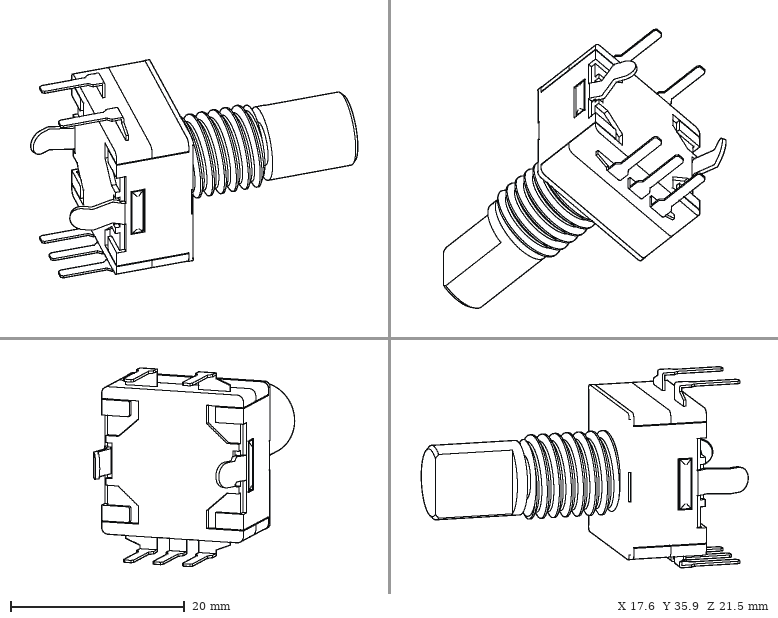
import cadquery as cq
import math


body_size = 17.3
half_body = body_size / 2
body_corner_radius = 0.8
seam_y = 4.27
case_top_y = 8.7
clearance = 0.07
channel_clearance = 0.1

plate_top_y = 9.25
plate_corner_radius = 0.7
plate_edge_radius = 0.15
edge_notch_half_width = 1.72
edge_notch_depth = 0.2
sheet = 0.45
wall_half_width = 7.1
wall_inner_x = half_body - sheet
wall_opening_half_width = 5.28
wall_opening_top_y = 1.1
lug_bend_y = 1.0
tab_end_x = 5.25
tab_corner_radius = 0.2

lug_half_width = 1.47
lug_bend_radius = 0.43
lug_waist = (7.9, -0.25)
lug_knee = (8.62, -2.87)
lug_tip_x = 7.5
tip_y = -5.3

window_half_length = 3.0
window_bottom_y = 1.72
window_top_y = 3.4
catch_half_length = 2.9
catch_bottom_y = 1.85
catch_top_y = 3.15
catch_height = 0.15
ridge_half_length = 2.35
ridge_width = 0.25

recess_depth = 0.57
side_floor_x = wall_inner_x - clearance
channel_half_width = wall_half_width + channel_clearance
recess_end_x = 4.15
recess_bevel_z = 5.1
recess_bevel_x = 6.65
recess_inner_z = 2.9
lug_recess_half_width = 2.1
lug_recess_end_x = 7.4

terminal_pitch = 3.6
terminal_sheet = 0.3
terminal_outer_z = 10.75
foot_top_y = 2.12
foot_half_width = 1.05
flare_reach = 2.75
flare_near_z = 9.38
flare_far_z = 10.05
blade_half_width = 0.6
shoulder_top_y = 0.7
shoulder_bottom_y = 0.2
blade_tip_inset = 0.2
blade_tip_length = 0.3

bushing_length = 10.05
thread_pitch = 1.45
thread_root_radius = 4.1
thread_crest_radius = 4.85
thread_crest_width = 0.2
thread_root_width = 0.32
thread_embed = 0.1

neck_radius = 2.55
collar_bottom_y = 20.2
flat_bottom_y = 21.4
shaft_end_y = 30.6
shaft_radius = 4.3
flat_x = 2.12
shaft_end_chamfer = 0.4


def block(x_range, y_range, z_range):
    """Box between the given limits along each axis."""
    (x0, x1), (y0, y1), (z0, z1) = x_range, y_range, z_range
    corner = cq.Vector(x0, y0, z0)
    return cq.Workplane(cq.Solid.makeBox(x1 - x0, y1 - y0, z1 - z0, corner))


def cylinder(radius, y0, y1):
    """Cylinder on the shaft axis between two heights."""
    return cq.Workplane(cq.Solid.makeCylinder(radius, y1 - y0, cq.Vector(0, y0, 0), cq.Vector(0, 1, 0)))


def both_sides(shape):
    """The shape together with its mirror image across X = 0."""
    return shape.union(shape.mirror("YZ"))



def body_section(y0, y1):
    """Square block with round corners and a shallow channel for the bracket on each X side."""
    section = block((-half_body, half_body), (y0, y1), (-half_body, half_body))
    section = section.edges("|Y").fillet(body_corner_radius)
    channel = block((-half_body, -side_floor_x), (y0, y1), (-channel_half_width, channel_half_width))
    return section.cut(both_sides(channel))


def make_case():
    return body_section(seam_y, case_top_y)



def snap_catch():
    """Hip-roofed catch that stands through the bracket window on the -X side."""
    root = block(
        (-half_body, -side_floor_x),
        (catch_bottom_y, catch_top_y),
        (-catch_half_length, catch_half_length),
    )
    catch_width = catch_top_y - catch_bottom_y
    middle_y = (catch_top_y + catch_bottom_y) / 2
    roof = (
        cq.Workplane("YZ", origin=(-half_body, middle_y, 0))
        .rect(catch_width, 2 * catch_half_length)
        .workplane(offset=-catch_height)
        .rect(ridge_width, 2 * ridge_half_length)
        .loft(ruled=True)
    )
    return root.union(roof)


def corner_recess():
    """Bevelled recess that takes the folded bracket tab at the -X, +Z corner."""
    outline = [
        (-half_body, channel_half_width),
        (-recess_end_x, channel_half_width),
        (-recess_end_x, recess_bevel_z),
        (-recess_bevel_x, recess_inner_z),
        (-half_body, recess_inner_z),
    ]
    return cq.Workplane("XZ").polyline(outline).close().extrude(-recess_depth)


def lug_recess():
    """Recess around the root of the lug, deeper right behind the lug itself."""
    x_range = (-half_body, -lug_recess_end_x)
    shallow = block(x_range, (0, recess_depth), (-lug_recess_half_width, lug_recess_half_width))
    deep = block(x_range, (0, wall_opening_top_y), (-lug_half_width, lug_half_width))
    return shallow.union(deep)


def terminal(x, flare):
    """Bent terminal on the +Z side; flare is the X direction of its wide root, or 0 for none."""
    foot_bottom_y = foot_top_y - terminal_sheet
    root_z = half_body - terminal_sheet
    foot = block(
        (x - foot_half_width, x + foot_half_width),
        (foot_bottom_y, foot_top_y),
        (root_z, terminal_outer_z),
    )
    half_blade = [
        (foot_half_width, foot_top_y),
        (foot_half_width, shoulder_top_y),
        (blade_half_width, shoulder_bottom_y),
        (blade_half_width, tip_y + blade_tip_length),
        (blade_half_width - blade_tip_inset, tip_y),
    ]
    right_side = [(x + dx, y) for dx, y in half_blade]
    left_side = [(x - dx, y) for dx, y in reversed(half_blade)]
    blade = (
        cq.Workplane("XY", origin=(0, 0, terminal_outer_z - terminal_sheet))
        .polyline(right_side + left_side)
        .close()
        .extrude(terminal_sheet)
    )
    bent = foot.union(blade).edges(">Y and >Z").fillet(terminal_sheet)
    if flare == 0:
        return bent
    flare_outline = [
        (x, root_z),
        (x + flare * flare_reach, root_z),
        (x + flare * flare_reach, flare_near_z),
        (x + flare * foot_half_width, flare_far_z),
        (x, flare_far_z),
    ]
    wing = (
        cq.Workplane("XZ", origin=(0, foot_bottom_y, 0))
        .polyline(flare_outline)
        .close()
        .extrude(-terminal_sheet)
    )
    return bent.union(wing)


def make_base():
    base = body_section(0, seam_y).union(both_sides(snap_catch()))
    recess = corner_recess()
    recesses = recess.union(recess.mirror("XY")).union(lug_recess())
    base = base.cut(both_sides(recesses))
    for direction in (-1, 1):
        outer = terminal(direction * terminal_pitch, direction)
        base = base.union(outer).union(outer.mirror("XY"))
    return base.union(terminal(0, 0).mirror("XY"))



def bracket_plate():
    """Top plate with the hole for the shaft neck and its eased, notched X edges."""
    plate = block((-half_body, half_body), (case_top_y, plate_top_y), (-half_body, half_body))
    plate = plate.edges("|Y").fillet(plate_corner_radius)
    straight_half = half_body - plate_corner_radius
    edge_square = block(
        (-half_body, -half_body + plate_edge_radius),
        (plate_top_y - plate_edge_radius, plate_top_y),
        (-straight_half, straight_half),
    )
    edge_round = (
        cq.Workplane("XY", origin=(-half_body + plate_edge_radius, plate_top_y - plate_edge_radius, 0))
        .circle(plate_edge_radius)
        .extrude(straight_half, both=True)
    )
    notch = block(
        (-half_body, -half_body + edge_notch_depth),
        (plate_top_y - edge_notch_depth, plate_top_y),
        (-edge_notch_half_width, edge_notch_half_width),
    )
    easing = edge_square.cut(edge_round).union(notch)
    return plate.cut(both_sides(easing)).cut(cylinder(neck_radius, case_top_y, plate_top_y))


def bracket_wall():
    """Wall on the -X side with the catch window and the opening between its two legs."""
    x_range = (-half_body, -wall_inner_x)
    wall = block(x_range, (0, case_top_y), (-wall_half_width, wall_half_width))
    window = block(x_range, (window_bottom_y, window_top_y), (-window_half_length, window_half_length))
    opening = block(
        x_range, (0, wall_opening_top_y), (-wall_opening_half_width, wall_opening_half_width)
    )
    return wall.cut(window).cut(opening)


def folded_tab(rounded):
    """Tab folded under the base from the -X, +Z leg."""
    tab = block(
        (-half_body, -tab_end_x), (0, sheet), (wall_opening_half_width, wall_half_width)
    )
    if rounded:
        tab = tab.edges("|Y and >X").fillet(tab_corner_radius)
    return tab


def offset_face(points, distance):
    """Polyline parallel to the given one, moved to the left of its direction, with mitred corners."""
    angles = [
        math.atan2(y1 - y0, x1 - x0) for (x0, y0), (x1, y1) in zip(points, points[1:])
    ]
    moved = []
    for (x, y), before, after in zip(points, angles[:1] + angles, angles + angles[-1:]):
        normal = (before + after) / 2 + math.pi / 2
        reach = distance / math.cos((after - before) / 2)
        moved.append((x + reach * math.cos(normal), y + reach * math.sin(normal)))
    return moved


def snap_lug():
    """Cranked spring lug below the -X wall with a round end."""
    outer_face = [
        (-half_body, wall_opening_top_y + sheet),
        (-half_body, lug_bend_y),
        (-lug_waist[0], lug_waist[1]),
        (-lug_knee[0], lug_knee[1]),
        (-lug_tip_x, tip_y),
    ]
    inner_face = offset_face(outer_face, sheet)
    strip = (
        cq.Workplane("XY")
        .polyline(outer_face + inner_face[::-1])
        .close()
        .extrude(lug_half_width, both=True)
    )
    bends = cq.selectors.BoxSelector(
        (-half_body - sheet, lug_knee[1] - sheet, -body_size),
        (0, lug_waist[1] + sheet, body_size),
    )
    strip = strip.edges("|Z").edges(bends).fillet(lug_bend_radius)
    return strip.cut(lug_end_trim(outer_face[-2], outer_face[-1]))


def lug_end_trim(knee, tip):
    """Waste outside the half-round end of the straight lug stretch from knee to tip."""
    length = math.dist(knee, tip)
    direction_x = (tip[0] - knee[0]) / length
    direction_y = (tip[1] - knee[1]) / length
    center_x = tip[0] - lug_half_width * direction_x
    center_y = tip[1] - lug_half_width * direction_y
    end_plane = cq.Plane(
        origin=(center_x, center_y, 0),
        xDir=(direction_x, direction_y, 0),
        normal=(-direction_y, direction_x, 0),
    )
    waste = (
        cq.Workplane(end_plane)
        .center(lug_half_width, 0)
        .rect(2 * lug_half_width, 3 * lug_half_width)
        .extrude(2 * sheet, both=True)
    )
    return waste.cut(cq.Workplane(end_plane).circle(lug_half_width).extrude(2 * sheet, both=True))


def make_bracket():
    bracket = bracket_plate().union(both_sides(bracket_wall().union(snap_lug())))
    left_tab = folded_tab(rounded=True)
    right_tab = folded_tab(rounded=False).mirror("YZ")
    for tab in (left_tab, right_tab):
        bracket = bracket.union(tab).union(tab.mirror("XY"))
    return bracket



def make_bushing():
    """Bushing built along +Z and then laid along +Y."""
    half_crest = thread_crest_width / 2
    flank_width = (thread_pitch - thread_crest_width - thread_root_width) / 2
    flank_slope = flank_width / (thread_crest_radius - thread_root_radius)
    foot_radius = thread_root_radius - thread_embed
    half_foot = half_crest + flank_width + flank_slope * thread_embed
    start_z = -thread_pitch / 2
    helix_height = bushing_length + thread_pitch
    path = cq.Wire.makeHelix(thread_pitch, helix_height, foot_radius, cq.Vector(0, 0, start_z))
    profile = [
        (foot_radius, start_z - half_foot),
        (thread_crest_radius, start_z - half_crest),
        (thread_crest_radius, start_z + half_crest),
        (foot_radius, start_z + half_foot),
    ]
    ridge = cq.Workplane("XZ").polyline(profile).close().sweep(cq.Workplane(path), isFrenet=True)
    tube = cq.Workplane("XY", origin=(0, 0, -bushing_length / 2))
    tube = tube.circle(thread_root_radius).circle(neck_radius).extrude(2 * bushing_length)
    envelope = cq.Workplane("XY").circle(2 * thread_crest_radius).extrude(bushing_length)
    bushing = tube.union(ridge).intersect(envelope)
    return bushing.rotate((0, 0, 0), (1, 0, 0), -90).translate((0, plate_top_y, 0))



def make_shaft():
    """D-shaft with a full-round collar; its neck runs down through the bushing to the case."""
    head = cylinder(shaft_radius, collar_bottom_y, shaft_end_y).faces(">Y").chamfer(shaft_end_chamfer)
    flat = block(
        (-shaft_radius, -flat_x), (flat_bottom_y, shaft_end_y), (-shaft_radius, shaft_radius)
    )
    return head.cut(flat).union(cylinder(neck_radius, case_top_y, collar_bottom_y))


base = make_base()
case = make_case()
bracket = make_bracket()
bushing = make_bushing()
shaft = make_shaft()

result = cq.Compound.makeCompound(
    [base.val(), case.val(), bracket.val(), bushing.val(), shaft.val()]
)